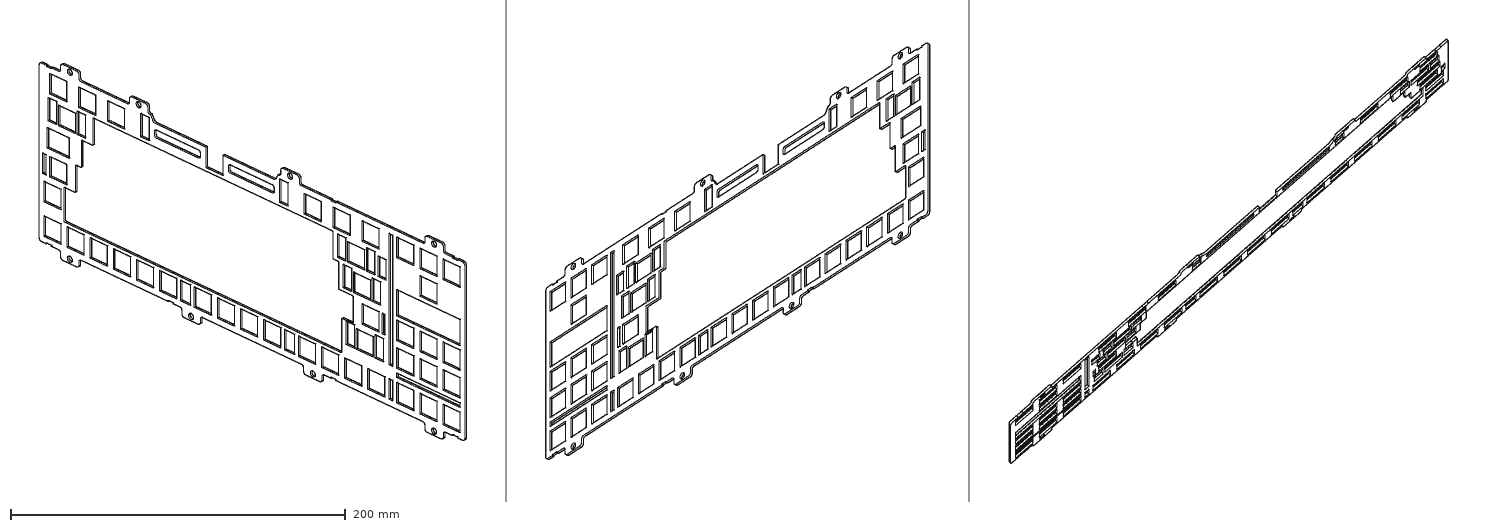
import cadquery as cq


THICKNESS = 1.5
UNIT = 19.05
BLOCK_GAP = UNIT / 4
FIELD_COLUMNS = 18.25
MAIN_COLUMNS = 15
FIELD_ROWS = 6

PLATE_LENGTH = 350.61
OVERALL_HEIGHT = 135.01
CORNER_RADIUS = 2.0
TAB_WIDTH = 15.3
TAB_HEIGHT = 6.0
TAB_OVERLAP = 1.0
TAB_TIP_RADIUS = 2.0
TAB_ROOT_RADIUS = 1.5
TAB_HOLE_DIAMETER = 4.0
TAB_HOLE_INSET = 3.1
OUTER_TAB_X = 150.0
BOTTOM_INNER_TAB_X = 50.1
TOP_INNER_TAB_OFFSET = 62.35
NICK_WIDTH = 4.0
NICK_DEPTH = 0.7
OUTER_NICK_X = 167.3
INNER_NICK_X = 67.0

SWITCH = 14.0
WIDE_SWITCH = 18.0
CAPS_LOCK_COLUMN = 0.75
CAPS_LOCK_ROW = 2
STABILIZER_WIDTH = 6.9
STABILIZER_RISE = 9.0
STABILIZER_OFFSET = 11.9
WIDE_STABILIZER_OFFSET = 3 * UNIT
BOTTOM_SLOT_WIDTH = 8.2
BOTTOM_SLOT_COLUMNS = (6.25, 10.75)
FLEX_SLOT_WIDTH = 3.0
NARROW_SLOT_WIDTH = 2.0
LEFT_SLOT_X = -171.1
RIGHT_SLOT_X = 108.3
SIDE_SLOT_WIDTH = 6.4
SIDE_SLOT_COLUMN = 14.75
DISPLAY_HEIGHT = 18.0
OPENING_RADIUS = 0.5

WIDE_KEY_COLUMN = 7.5
RECESS_HALF_LENGTH = 50.0
RECESS_END_RUN = 2.5
RECESS_RADIUS = 2.0
RIM_SLOT_LENGTH = 37.7
RIM_SLOT_HEIGHT = 5.5
RIM_SLOT_RADIUS = 1.5
RIM_SLOT_OFFSET = 30.4
RIM_SLOT_Z = 49.9

field_left = -FIELD_COLUMNS * UNIT / 2
field_top = (FIELD_ROWS * UNIT + BLOCK_GAP) / 2
body_top = OVERALL_HEIGHT / 2 - TAB_HEIGHT
recess_floor = field_top - UNIT / 2 + SWITCH / 2


def column_x(column):
    """X of a column position given in key units."""
    return field_left + column * UNIT


def row_edge_z(row):
    """Z of the upper edge of a row, for rows 0 to 5 above the block gap."""
    return field_top - row * UNIT


def row_z(row):
    """Z of the key centres of a row; row 5 is the bottom row below the gap."""
    gap = BLOCK_GAP if row == FIELD_ROWS - 1 else 0
    return row_edge_z(row) - UNIT / 2 - gap


wide_key_x = column_x(WIDE_KEY_COLUMN)
pad_columns = [15.75, 16.75, 17.75]
pad_x = column_x(pad_columns[1])
pad_length = 2 * UNIT + SWITCH
gap_x = column_x(MAIN_COLUMNS) + BLOCK_GAP / 2

top_tabs = [
    -OUTER_TAB_X,
    wide_key_x - TOP_INNER_TAB_OFFSET,
    wide_key_x + TOP_INNER_TAB_OFFSET,
    OUTER_TAB_X,
]
bottom_tabs = [-OUTER_TAB_X, -BOTTOM_INNER_TAB_X, BOTTOM_INNER_TAB_X, OUTER_TAB_X]
top_nicks = [-OUTER_NICK_X, INNER_NICK_X, OUTER_NICK_X]
bottom_nicks = [-OUTER_NICK_X, -INNER_NICK_X, INNER_NICK_X, OUTER_NICK_X]

key_columns = [
    [0.75, 2, 3.25, 11.75, 13, 14.25] + pad_columns,
    [1.125, 13.625, pad_columns[1]],
    [13.875],
    [0.75, 14.25] + pad_columns,
    [0.5, 14] + pad_columns,
    [0.5, 1.5, 2.5, 3.5, 4.5, 5.5, 7, 8, 9, 10, 11.5, 12.5, 13.5, 14.5] + pad_columns,
]
stabilized_keys = [
    (0, WIDE_KEY_COLUMN, WIDE_STABILIZER_OFFSET),
    (1, 1.125, STABILIZER_OFFSET),
    (1, 13.625, STABILIZER_OFFSET),
    (2, 13.875, STABILIZER_OFFSET),
    (4, 14, STABILIZER_OFFSET),
]
opening_sides = [(2.25, 12.625), (1.75, 12.875), (1.5, 13.5), (1, 13)]


def prism(outline):
    """Extrude an outline through the plate thickness, centred on Y = 0."""
    return outline.extrude(THICKNESS / 2, both=True)


def block(x, z, width, height):
    """Rectangular block of plate thickness centred on (x, z)."""
    return prism(cq.Workplane("XZ").center(x, z).rect(width, height))


def make_body():
    """Bordered rectangle with mounting tabs on its long edges."""
    body = block(0, 0, PLATE_LENGTH, 2 * body_top).edges("|Y").fillet(CORNER_RADIUS)
    body = body.cut(make_recess())
    for side, tabs in ((1, top_tabs), (-1, bottom_tabs)):
        hole_z = side * (OVERALL_HEIGHT / 2 - TAB_HOLE_INSET)
        for x in tabs:
            body = body.union(make_tab(x, side))
            body = body.cut(prism(cq.Workplane("XZ").center(x, hole_z).circle(TAB_HOLE_DIAMETER / 2)))
    for side, nicks in ((1, top_nicks), (-1, bottom_nicks)):
        for x in nicks:
            body = body.cut(block(x, side * body_top, NICK_WIDTH, 2 * NICK_DEPTH))
    return body


def make_recess():
    """Trapezoid lowering the top edge around the wide key."""
    top_half_length = RECESS_HALF_LENGTH + RECESS_END_RUN
    outline = cq.Workplane("XZ").polyline([
        (wide_key_x - top_half_length, body_top),
        (wide_key_x - RECESS_HALF_LENGTH, recess_floor),
        (wide_key_x + RECESS_HALF_LENGTH, recess_floor),
        (wide_key_x + top_half_length, body_top),
    ])
    return prism(outline.close()).edges("|Y and <Z").fillet(RECESS_RADIUS)


def make_tab(x, side):
    """Mounting tab with rounded free corners and concave root fillets; side is 1 up, -1 down."""
    root = side * body_top
    inner = side * (body_top - TAB_OVERLAP)
    tip = side * OVERALL_HEIGHT / 2
    tab = block(x, (tip + inner) / 2, TAB_WIDTH, abs(tip - inner))
    tab = tab.edges("|Y").edges(">Z" if side > 0 else "<Z").fillet(TAB_TIP_RADIUS)
    for end in (-1, 1):
        flank = x + end * TAB_WIDTH / 2
        web_x = flank + end * TAB_ROOT_RADIUS / 2
        web_z = root + side * TAB_ROOT_RADIUS / 2
        round_x = flank + end * TAB_ROOT_RADIUS
        round_z = root + side * TAB_ROOT_RADIUS
        web = block(web_x, web_z, TAB_ROOT_RADIUS, TAB_ROOT_RADIUS)
        web = web.cut(prism(cq.Workplane("XZ").center(round_x, round_z).circle(TAB_ROOT_RADIUS)))
        tab = tab.union(web)
    return tab


def make_central_opening():
    """Large opening whose left and right sides step from row to row."""
    bottom = row_z(FIELD_ROWS - 1) + UNIT / 2
    left = []
    right = []
    for row, (left_column, right_column) in enumerate(opening_sides, start=1):
        lower_z = bottom if row == len(opening_sides) else row_edge_z(row + 1)
        for z in (row_edge_z(row), lower_z):
            left.append((column_x(left_column), z))
            right.append((column_x(right_column), z))
    return prism(cq.Workplane("XZ").polyline(left + right[::-1]).close()).edges("|Y").fillet(OPENING_RADIUS)


def make_switch_cutouts():
    """Every square switch cutout, the wide caps lock one and the notch of the wide key."""
    cutouts = [
        block(column_x(column), row_z(row), SWITCH, SWITCH)
        for row, columns in enumerate(key_columns)
        for column in columns
    ]
    cutouts.append(block(column_x(CAPS_LOCK_COLUMN), row_z(CAPS_LOCK_ROW), WIDE_SWITCH, SWITCH))
    cutouts.append(block(wide_key_x, row_z(0), SWITCH, SWITCH))
    return cutouts


def make_stabilizer_cutouts():
    """A pair of upright cutouts beside each stabilized key, level with the switch at the bottom."""
    height = SWITCH / 2 + STABILIZER_RISE
    cutouts = []
    for row, column, offset in stabilized_keys:
        z = row_z(row) + (STABILIZER_RISE - SWITCH / 2) / 2
        for side in (-1, 1):
            cutouts.append(block(column_x(column) + side * offset, z, STABILIZER_WIDTH, height))
    return cutouts


def make_slots():
    """Relief slots between the key blocks and the display window over the number pad."""
    bottom_z = row_z(FIELD_ROWS - 1)
    gap_z = bottom_z + (UNIT + BLOCK_GAP) / 2
    upper_slot_height = row_z(0) - row_z(4) + SWITCH
    slots = [
        block(gap_x, (row_z(0) + row_z(4)) / 2, FLEX_SLOT_WIDTH, upper_slot_height),
        block(gap_x, bottom_z, FLEX_SLOT_WIDTH, SWITCH),
        block(pad_x, gap_z, pad_length, FLEX_SLOT_WIDTH),
        block(pad_x, row_z(2), pad_length, DISPLAY_HEIGHT),
        block(LEFT_SLOT_X, row_z(3), FLEX_SLOT_WIDTH, SWITCH),
        block(RIGHT_SLOT_X, row_z(3), NARROW_SLOT_WIDTH, SWITCH),
        block(column_x(SIDE_SLOT_COLUMN), row_z(1), SIDE_SLOT_WIDTH, SWITCH),
    ]
    for column in BOTTOM_SLOT_COLUMNS:
        slots.append(block(column_x(column), bottom_z, BOTTOM_SLOT_WIDTH, SWITCH))
    for side in (-1, 1):
        x = wide_key_x + side * RIM_SLOT_OFFSET
        slot = block(x, RIM_SLOT_Z, RIM_SLOT_LENGTH, RIM_SLOT_HEIGHT)
        slots.append(slot.edges("|Y").fillet(RIM_SLOT_RADIUS))
    return slots


result = make_body().cut(make_central_opening())
for cutout in make_switch_cutouts() + make_stabilizer_cutouts() + make_slots():
    result = result.cut(cutout)